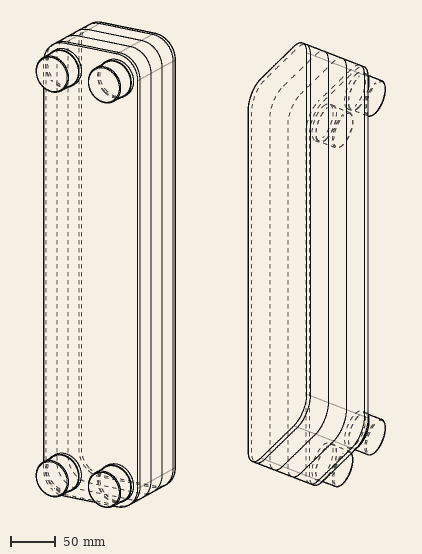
import cadquery as cq

WIDTH = 123.0
HEIGHT = 538.0
CORNER_RADIUS = 27.0
COVER_THICKNESS = 5.0
CORE_DEPTH = 71.5
CORE_SECTIONS = 3
SECTION_THICKNESS = CORE_DEPTH / CORE_SECTIONS

COLLAR_DIAMETER = 44.0
COLLAR_LENGTH = 5.0
STUB_DIAMETER = 42.5
CONNECTOR_LENGTH = 27.5
STUB_LENGTH = CONNECTOR_LENGTH - COLLAR_LENGTH
STUB_CHAMFER = 1.0
CONNECTOR_SPACING_X = 68.5
CONNECTOR_SPACING_Z = 480.5


def make_plate(front_y, thickness):
    """Rounded rectangular plate extending in +Y from its front face."""
    return (
        cq.Workplane("XZ", origin=(0, front_y, 0))
        .rect(WIDTH, HEIGHT)
        .extrude(-thickness)
        .edges("|Y")
        .fillet(CORNER_RADIUS)
    )


def make_connector(x, z):
    """Stepped connector extending in -Y from the front cover."""
    collar = cq.Workplane("XZ", origin=(x, 0, z)).circle(COLLAR_DIAMETER / 2).extrude(COLLAR_LENGTH)
    stub = (
        cq.Workplane("XZ", origin=(x, -COLLAR_LENGTH, z))
        .circle(STUB_DIAMETER / 2)
        .extrude(STUB_LENGTH)
        .faces("<Y")
        .chamfer(STUB_CHAMFER)
    )
    return collar.union(stub)


front_cover = make_plate(0, COVER_THICKNESS)
back_cover = make_plate(COVER_THICKNESS + CORE_DEPTH, COVER_THICKNESS)

core_sections = [
    make_plate(COVER_THICKNESS + index * SECTION_THICKNESS, SECTION_THICKNESS)
    for index in range(CORE_SECTIONS)
]

connectors = [
    make_connector(side_x * CONNECTOR_SPACING_X / 2, side_z * CONNECTOR_SPACING_Z / 2)
    for side_x in (-1, 1)
    for side_z in (-1, 1)
]

result = cq.Compound.makeCompound([
    front_cover.val(),
    *[section.val() for section in core_sections],
    back_cover.val(),
    *[connector.val() for connector in connectors],
])